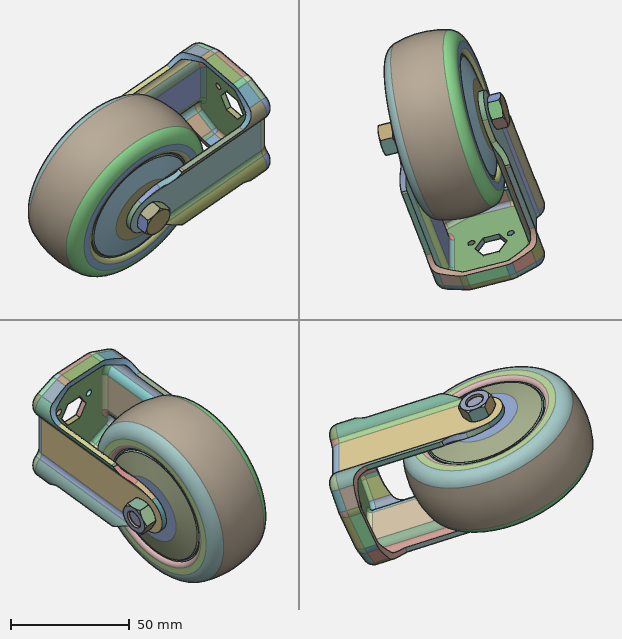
import cadquery as cq
import math

AXLE_RADIUS = 4.0

TYRE_RADIUS = 40.2
TREAD_HALF_WIDTH = 11.6
TREAD_EDGE_RADIUS = 38.5
TYRE_HALF_WIDTH = 16.1
TYRE_SIDE_OUTER_RADIUS = 32.5
TYRE_SIDE_INNER_RADIUS = 29.2
TYRE_LIP_RADIUS = 27.1
TYRE_LIP_DEPTH = 1.6

HUB_RADIUS = 26.4
HUB_RIM_CHAMFER = 0.5
BOSS_RADIUS = 15.7
BOSS_HALF_WIDTH = 17.7

SHEET = 2.5
PLATE_BACK_Y = 68.1
PLATE_EDGE_RADIUS = 4.3
PLATE_HALF_HEIGHT = 27.8
LEG_OUTER_X = 20.5
LEG_HALF_HEIGHT = 10.1
LOBE_RADIUS = 6.3
LOBE_CENTRE_X = 17.8
LOBE_CENTRE_Z = 17.4
CORNER_SLOPE = math.radians(25)
CORNER_RADIUS = 7.0
RIM_END_Y = 58.3
RIM_CURVE_MID = (55.4, 20.4)
RIM_CURVE_END_Y = 50.4
TAPER_START_Y = 16.2
TAPER_BEND_RADIUS = 4.9
TAPER_BEVEL_DROP = 2.7
HEX_WINDOW_CORNERS = 14.1
PLATE_HOLE_DIAMETER = 3.0
PLATE_HOLE_X = 8.7
PLATE_HOLE_Z = 4.8

HEX_FLATS = 13.0
HEX_CORNERS = HEX_FLATS / math.cos(math.radians(30))
HEX_CHAMFER_SLOPE = math.tan(math.radians(30))
HEX_SEAT_X = 21.0
NUT_HEIGHT = 6.3
NUT_TURN = 54
HEAD_HEIGHT = 5.8
HEAD_TURN = 18
BOLT_TIP_CHAMFER = 0.4
BOLT_TIP_RECESS = 0.9


def make_tyre():
    """Crowned tyre whose side walls curve down to the hub rim."""
    lip_x = TYRE_HALF_WIDTH - TYRE_LIP_DEPTH
    lip_height = TYRE_SIDE_INNER_RADIUS - TYRE_LIP_RADIUS
    diagonal = math.sqrt(0.5)
    lip_mid = (lip_x + TYRE_LIP_DEPTH * diagonal, TYRE_SIDE_INNER_RADIUS - lip_height * diagonal)
    return (
        cq.Workplane("XY")
        .moveTo(-lip_x, HUB_RADIUS)
        .lineTo(lip_x, HUB_RADIUS)
        .lineTo(lip_x, TYRE_LIP_RADIUS)
        .threePointArc(lip_mid, (TYRE_HALF_WIDTH, TYRE_SIDE_INNER_RADIUS))
        .lineTo(TYRE_HALF_WIDTH, TYRE_SIDE_OUTER_RADIUS)
        .tangentArcPoint((TREAD_HALF_WIDTH, TREAD_EDGE_RADIUS), relative=False)
        .threePointArc((0, TYRE_RADIUS), (-TREAD_HALF_WIDTH, TREAD_EDGE_RADIUS))
        .tangentArcPoint((-TYRE_HALF_WIDTH, TYRE_SIDE_OUTER_RADIUS), relative=False)
        .lineTo(-TYRE_HALF_WIDTH, TYRE_SIDE_INNER_RADIUS)
        .threePointArc((-lip_mid[0], lip_mid[1]), (-lip_x, TYRE_LIP_RADIUS))
        .close()
        .revolve(360, (0, 0, 0), (1, 0, 0))
    )


def make_hub():
    """Hub with flat bosses, shallow conical faces and a bore for the bolt."""
    rim_x = TYRE_HALF_WIDTH - TYRE_LIP_DEPTH
    cone_end_x = rim_x + HUB_RIM_CHAMFER
    half = [
        (BOSS_HALF_WIDTH, AXLE_RADIUS),
        (BOSS_HALF_WIDTH, BOSS_RADIUS),
        (cone_end_x, HUB_RADIUS - HUB_RIM_CHAMFER),
        (rim_x, HUB_RADIUS),
    ]
    mirrored = [(-x, r) for x, r in reversed(half)]
    return (
        cq.Workplane("XY")
        .polyline(half + mirrored)
        .close()
        .revolve(360, (0, 0, 0), (1, 0, 0))
    )


def plate_outline(inset):
    """Named points of one quarter of the plate outline, moved inwards by inset.

    The quarter runs from the flat leg through a concave bend and a round lobe
    to the sloped corner, and ends where the slope reaches the straight top.
    """
    bend_reach = LOBE_CENTRE_Z - LEG_HALF_HEIGHT
    leg_offset = LEG_OUTER_X - LOBE_CENTRE_X
    bend_radius = (leg_offset**2 + bend_reach**2 - LOBE_RADIUS**2) / (2 * (LOBE_RADIUS - leg_offset))
    bend_x = LEG_OUTER_X + bend_radius
    joint_angle = math.atan2(-bend_reach, bend_x - LOBE_CENTRE_X)
    slope_angle = math.pi / 2 - CORNER_SLOPE

    def on_lobe(angle):
        radius = LOBE_RADIUS - inset
        return (LOBE_CENTRE_X + radius * math.cos(angle), LOBE_CENTRE_Z + radius * math.sin(angle))

    def on_bend(angle):
        radius = bend_radius + inset
        return (bend_x + radius * math.cos(angle), LEG_HALF_HEIGHT + radius * math.sin(angle))

    bend_joint_angle = joint_angle + math.pi
    slope_start = on_lobe(slope_angle)
    top_z = PLATE_HALF_HEIGHT - inset
    slope_end_x = slope_start[0] - (top_z - slope_start[1]) / math.tan(CORNER_SLOPE)
    return {
        "leg": on_bend(math.pi),
        "bend_mid": on_bend((math.pi + bend_joint_angle) / 2),
        "joint": on_lobe(joint_angle),
        "lobe_mid": on_lobe((joint_angle + slope_angle) / 2),
        "slope_start": slope_start,
        "slope_end": (slope_end_x, top_z),
    }


def pressed_block(inset):
    """Solid filling the bracket's outer form, moved inwards by inset on the back and the sides."""
    p = plate_outline(inset)
    back_y = PLATE_BACK_Y - inset
    front_y = -2 * LEG_HALF_HEIGHT

    def at(name, side_x, side_z):
        x, z = p[name]
        return (side_x * x, side_z * z)

    outline = cq.Workplane("XZ", origin=(0, back_y, 0)).moveTo(*at("leg", 1, -1))
    for side in (1, -1):
        outline = (
            outline.lineTo(*at("leg", side, side))
            .threePointArc(at("bend_mid", side, side), at("joint", side, side))
            .threePointArc(at("lobe_mid", side, side), at("slope_start", side, side))
            .lineTo(*at("slope_end", side, side))
            .lineTo(*at("slope_end", -side, side))
            .lineTo(*at("slope_start", -side, side))
            .threePointArc(at("lobe_mid", -side, side), at("joint", -side, side))
            .threePointArc(at("bend_mid", -side, side), at("leg", -side, side))
        )
    block = outline.close().extrude(back_y - front_y)
    for side_x in (1, -1):
        for side_z in (1, -1):
            x, z = at("slope_end", side_x, side_z)
            corner = cq.selectors.NearestToPointSelector((x, (back_y + front_y) / 2, z))
            block = block.edges(corner).fillet(CORNER_RADIUS - inset)
    return block.faces(">Y").edges().fillet(PLATE_EDGE_RADIUS - inset)


def taper_tangent():
    """Y and Z of the point where the upper taper meets the round leg end."""
    reach = math.hypot(TAPER_START_Y, LOBE_CENTRE_Z)
    taper = math.atan2(LOBE_CENTRE_Z, TAPER_START_Y) - math.asin(LEG_HALF_HEIGHT / reach)
    return (-LEG_HALF_HEIGHT * math.sin(taper), LEG_HALF_HEIGHT * math.cos(taper))


def side_trim():
    """Slab with the bracket's side shape: plate rim, straight legs and round leg ends."""
    tangent_y, tangent_z = taper_tangent()
    mid_y, mid_z = RIM_CURVE_MID
    slab = (
        cq.Workplane("YZ")
        .moveTo(PLATE_BACK_Y, -PLATE_HALF_HEIGHT)
        .lineTo(PLATE_BACK_Y, PLATE_HALF_HEIGHT)
        .lineTo(RIM_END_Y, PLATE_HALF_HEIGHT)
        .threePointArc((mid_y, mid_z), (RIM_CURVE_END_Y, LOBE_CENTRE_Z))
        .lineTo(TAPER_START_Y, LOBE_CENTRE_Z)
        .lineTo(tangent_y, tangent_z)
        .threePointArc((-LEG_HALF_HEIGHT, 0), (tangent_y, -tangent_z))
        .lineTo(TAPER_START_Y, -LOBE_CENTRE_Z)
        .lineTo(RIM_CURVE_END_Y, -LOBE_CENTRE_Z)
        .threePointArc((mid_y, -mid_z), (RIM_END_Y, -PLATE_HALF_HEIGHT))
        .close()
        .extrude(LOBE_CENTRE_X + LOBE_RADIUS, both=True)
    )
    for side in (1, -1):
        bend = cq.selectors.NearestToPointSelector((0, TAPER_START_Y, side * LOBE_CENTRE_Z))
        slab = slab.edges(bend).fillet(TAPER_BEND_RADIUS)
    return slab


def taper_bevels():
    """Four wedges that tilt the tapered sheet edge towards the outside of the fork."""
    tangent_y, tangent_z = taper_tangent()
    mid_y = (TAPER_START_Y + tangent_y) / 2
    mid_z = (LOBE_CENTRE_Z + tangent_z) / 2

    def section(drop):
        return [
            (TAPER_START_Y, LOBE_CENTRE_Z),
            (mid_y, mid_z - drop),
            (tangent_y, tangent_z),
            (tangent_y, LOBE_CENTRE_Z),
        ]

    wedge = (
        cq.Workplane("YZ", origin=(LOBE_CENTRE_X, 0, 0))
        .polyline(section(0))
        .close()
        .workplane(offset=LOBE_RADIUS)
        .polyline(section(TAPER_BEVEL_DROP))
        .close()
        .loft(ruled=True)
    )
    pair = wedge.union(wedge.mirror("XY"))
    return pair.union(pair.mirror("YZ"))


def make_bracket():
    """Sheet fork: a plate with a rim, and two legs that carry the bolt."""
    shell = pressed_block(0).cut(pressed_block(SHEET)).intersect(side_trim()).cut(taper_bevels())
    bolt_holes = cq.Workplane("YZ").circle(AXLE_RADIUS).extrude(PLATE_BACK_Y, both=True)
    plate_face = cq.Workplane("XZ", origin=(0, PLATE_BACK_Y, 0))
    window = plate_face.polygon(6, HEX_WINDOW_CORNERS).extrude(2 * SHEET)
    small_holes = (
        plate_face.pushPoints([(-PLATE_HOLE_X, PLATE_HOLE_Z), (PLATE_HOLE_X, PLATE_HOLE_Z)])
        .circle(PLATE_HOLE_DIAMETER / 2)
        .extrude(2 * SHEET)
    )
    return shell.cut(bolt_holes).cut(window).cut(small_holes)


def chamfered_hexagon(start_x, height, turn):
    """Hexagonal prism along X with both ends chamfered down to the flats."""
    prism = (
        cq.Workplane("YZ", origin=(start_x, 0, 0))
        .transformed(rotate=(0, 0, turn))
        .polygon(6, HEX_CORNERS)
        .extrude(height)
    )
    flat_radius = HEX_FLATS / 2
    corner_radius = HEX_CORNERS / 2
    drop = (corner_radius - flat_radius) * HEX_CHAMFER_SLOPE
    end_x = start_x + height
    envelope = (
        cq.Workplane("XY")
        .polyline([
            (start_x, 0),
            (start_x, flat_radius),
            (start_x + drop, corner_radius),
            (end_x - drop, corner_radius),
            (end_x, flat_radius),
            (end_x, 0),
        ])
        .close()
        .revolve(360, (0, 0, 0), (1, 0, 0))
    )
    return prism.intersect(envelope)


def make_bolt():
    """Hexagon bolt with its head on the +X side and its tip just inside the nut."""
    shank = (
        cq.Workplane("YZ", origin=(HEX_SEAT_X, 0, 0))
        .circle(AXLE_RADIUS)
        .extrude(-(2 * HEX_SEAT_X + NUT_HEIGHT - BOLT_TIP_RECESS))
        .faces("<X")
        .chamfer(BOLT_TIP_CHAMFER)
    )
    return chamfered_hexagon(HEX_SEAT_X, HEAD_HEIGHT, HEAD_TURN).union(shank)


def make_nut():
    """Hexagon nut on the -X end of the bolt."""
    bore = cq.Workplane("YZ").circle(AXLE_RADIUS).extrude(-PLATE_BACK_Y)
    return chamfered_hexagon(-HEX_SEAT_X - NUT_HEIGHT, NUT_HEIGHT, NUT_TURN).cut(bore)


tyre = make_tyre()
hub = make_hub()
bracket = make_bracket()
bolt = make_bolt()
nut = make_nut()

result = cq.Compound.makeCompound([tyre.val(), hub.val(), bracket.val(), bolt.val(), nut.val()])